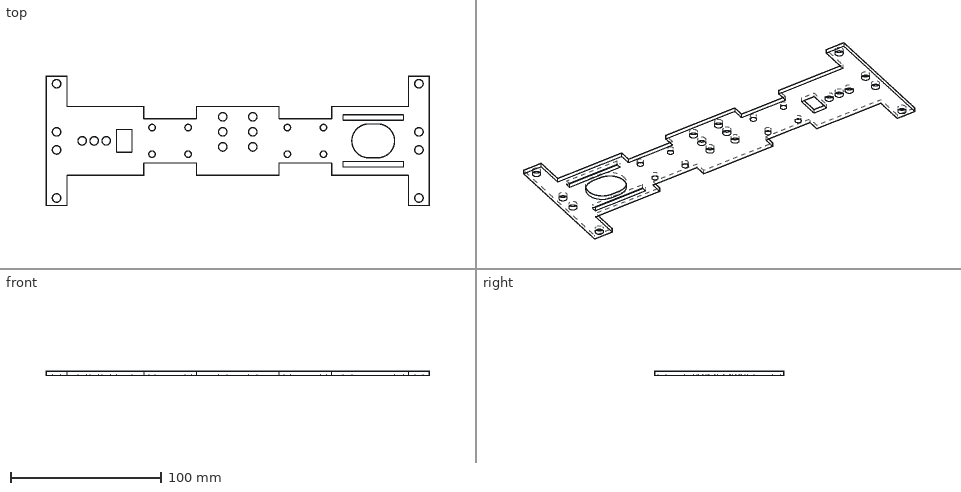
import cadquery as cq

THICKNESS = 3.0
LENGTH = 255.0
CROSSBAR_SPAN = 86.0
CROSSBAR_WIDTH = 14.0
BODY_WIDTH = 46.0
NECK_WIDTH = 29.6
NECK_LENGTH = 35.0
CENTER_PAD_LENGTH = 55.0

crossbar_x = (LENGTH - CROSSBAR_WIDTH) / 2
neck_x = (CENTER_PAD_LENGTH + NECK_LENGTH) / 2
end_pad_inner_x = neck_x + NECK_LENGTH / 2
end_pad_outer_x = LENGTH / 2 - CROSSBAR_WIDTH
end_pad_length = end_pad_outer_x - end_pad_inner_x
end_pad_x = (end_pad_inner_x + end_pad_outer_x) / 2

BOLT_HOLE_DIAMETER = 5.5
NECK_HOLE_DIAMETER = 4.2
CROSSBAR_HOLE_INNER_Y = 6.0
CROSSBAR_HOLE_OUTER_Y = 38.0
NECK_HOLE_SPACING_X = 24.0
NECK_HOLE_SPACING_Y = 17.7
CENTER_HOLE_SPACING_X = 20.0
CENTER_HOLE_PITCH_Y = 10.0
CENTER_HOLE_MIDDLE_Y = 6.0
ROW_HOLE_PITCH = 8.0
ROW_MIDDLE_X = -95.5

WINDOW_LENGTH = 10.0
WINDOW_WIDTH = 15.0
WINDOW_X = -75.5

OPENING_X = 90.1
OVAL_LENGTH = 28.3
OVAL_WIDTH = 22.4
STRAP_SLOT_LENGTH = 40.0
STRAP_SLOT_WIDTH = 3.5
STRAP_SLOT_Y = 15.5


def block(length, width, x=0.0, y=0.0):
    """Rectangular prism of full plate thickness centred at (x, y)."""
    return cq.Workplane("XY").center(x, y).rect(length, width).extrude(THICKNESS)


def round_holes(points, diameter):
    """Cutters for through holes at the given points."""
    return cq.Workplane("XY").pushPoints(points).circle(diameter / 2).extrude(THICKNESS)


def make_plate():
    """Stepped strip with a crossbar at each end."""
    plate = block(LENGTH, NECK_WIDTH).union(block(CENTER_PAD_LENGTH, BODY_WIDTH))
    for side in (-1, 1):
        plate = plate.union(block(end_pad_length, BODY_WIDTH, side * end_pad_x))
        plate = plate.union(block(CROSSBAR_WIDTH, CROSSBAR_SPAN, side * crossbar_x))
    return plate.clean()


def crossbar_holes():
    """Four bolt holes along each crossbar."""
    points = [
        (side_x * crossbar_x, side_y * y)
        for side_x in (-1, 1)
        for side_y in (-1, 1)
        for y in (CROSSBAR_HOLE_INNER_Y, CROSSBAR_HOLE_OUTER_Y)
    ]
    return round_holes(points, BOLT_HOLE_DIAMETER)


def neck_holes():
    """Rectangle of four small holes on each neck."""
    points = [
        (neck * neck_x + side_x * NECK_HOLE_SPACING_X / 2, side_y * NECK_HOLE_SPACING_Y / 2)
        for neck in (-1, 1)
        for side_x in (-1, 1)
        for side_y in (-1, 1)
    ]
    return round_holes(points, NECK_HOLE_DIAMETER)


def center_holes():
    """Two columns of three holes on the centre pad, set off towards +Y."""
    points = [
        (side * CENTER_HOLE_SPACING_X / 2, CENTER_HOLE_MIDDLE_Y + step * CENTER_HOLE_PITCH_Y)
        for side in (-1, 1)
        for step in (-1, 0, 1)
    ]
    return round_holes(points, BOLT_HOLE_DIAMETER)


def row_holes():
    """Three holes along the centreline of the left end pad."""
    points = [(ROW_MIDDLE_X + step * ROW_HOLE_PITCH, 0) for step in (-1, 0, 1)]
    return round_holes(points, BOLT_HOLE_DIAMETER)


def window():
    """Rectangular window of the left end pad."""
    return block(WINDOW_LENGTH, WINDOW_WIDTH, WINDOW_X)


def oval_opening():
    """Large round-ended opening of the right end pad."""
    return cq.Workplane("XY").center(OPENING_X, 0).slot2D(OVAL_LENGTH, OVAL_WIDTH).extrude(THICKNESS)


def strap_slots():
    """Narrow rectangular slot on each side of the oval opening."""
    upper = block(STRAP_SLOT_LENGTH, STRAP_SLOT_WIDTH, OPENING_X, STRAP_SLOT_Y)
    lower = block(STRAP_SLOT_LENGTH, STRAP_SLOT_WIDTH, OPENING_X, -STRAP_SLOT_Y)
    return upper.union(lower)


result = make_plate()
for make_cutter in (
    crossbar_holes,
    neck_holes,
    center_holes,
    row_holes,
    window,
    oval_opening,
    strap_slots,
):
    result = result.cut(make_cutter())